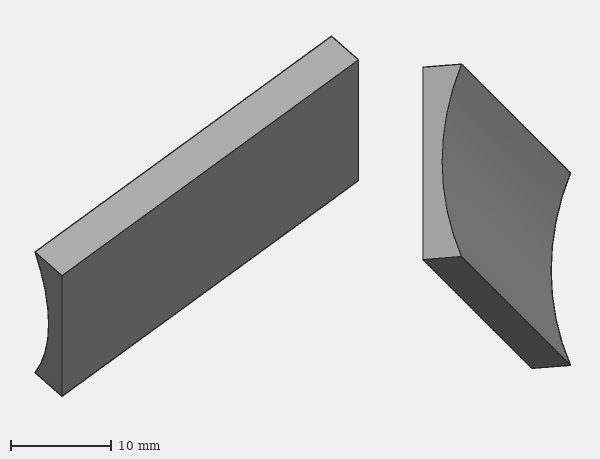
import cadquery as cq

width = 4.01
length = 40.0
height = 20.0
middle_thickness = 2.0

half_height = height / 2
hollow_depth = width - middle_thickness


def plate_profile():
    """Cross-section in XZ: flat back on +X, concave arc on -X."""
    return (
        cq.Workplane("XZ")
        .moveTo(0, -half_height)
        .lineTo(width, -half_height)
        .lineTo(width, half_height)
        .lineTo(0, half_height)
        .threePointArc((hollow_depth, 0), (0, -half_height))
        .close()
    )


result = plate_profile().extrude(length / 2, both=True)